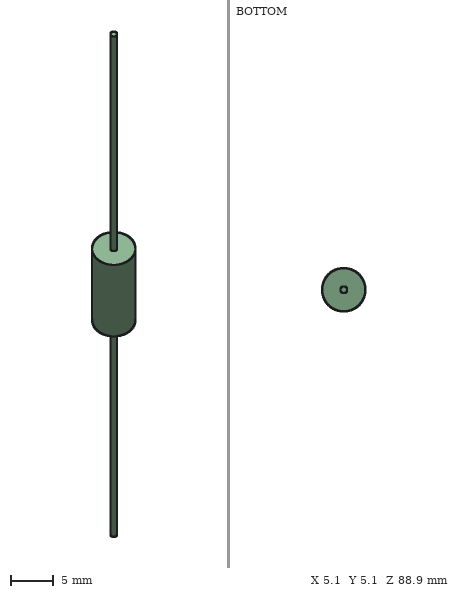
import cadquery as cq

overall_length = 88.9
body_length = 12.7
body_diameter = 5.1
lead_diameter = 0.8

body = cq.Workplane("XY").cylinder(body_length, body_diameter / 2)

lead = cq.Workplane("XY").cylinder(overall_length, lead_diameter / 2)

result = body.union(lead)